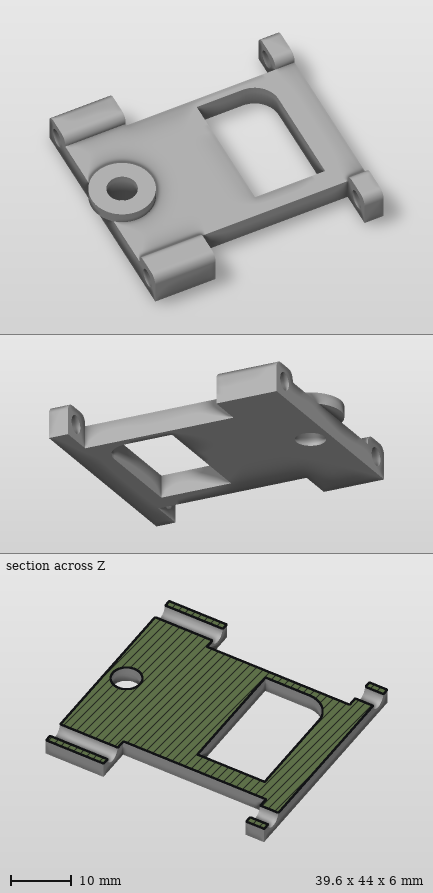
import cadquery as cq

overall_width = 39.6
plate_width = 26.95
plate_thickness = 4.0
overall_length = 43.95
overall_height = 6.0

boss_diameter = 11.15
boss_hole_diameter = 5.2
boss_overhang = 1.95
boss_center_y = boss_diameter / 2 - boss_overhang
plate_length = overall_length - boss_overhang

lug_height = 5.85
lug_round_radius = 1.5
front_lug_width = 6.0
front_lug_length = 11.1
rear_lug_width = (overall_width - plate_width) / 2
rear_lug_length = 3.5
pin_hole_diameter = 3.2
pin_edge_distance = 2.95

window_left = -11.9
window_width = 21.75
window_length = 12.9
window_rear_margin = 5.9
window_corner_radius = 4.4


def block(left, front, width, length, height):
    """Box standing on the base plane, placed by its left front corner."""
    return cq.Workplane("XY").box(width, length, height, centered=False).translate((left, front, 0))


def lug(side, front, width, length):
    """Corner lug with rounded top edges; side is -1 for left and 1 for right."""
    outer = side * overall_width / 2
    left = min(outer, outer - side * width)
    return block(left, front, width, length, lug_height).edges("|Y and >Z").fillet(lug_round_radius)


body = block(-plate_width / 2, 0, plate_width, plate_length, plate_thickness)
body = body.union(block(-overall_width / 2, 0, overall_width, front_lug_length, plate_thickness))

for side in (-1, 1):
    body = body.union(lug(side, 0, front_lug_width, front_lug_length))
    body = body.union(lug(side, plate_length - rear_lug_length, rear_lug_width, rear_lug_length))

boss = (
    cq.Workplane("XY", origin=(0, boss_center_y, plate_thickness))
    .circle(boss_diameter / 2)
    .extrude(overall_height - plate_thickness)
)
body = body.union(boss)

boss_hole = (
    cq.Workplane("XY", origin=(0, boss_center_y, 0))
    .circle(boss_hole_diameter / 2)
    .extrude(overall_height)
)
body = body.cut(boss_hole)

window_front = plate_length - window_rear_margin - window_length
window = (
    block(window_left, window_front, window_width, window_length, plate_thickness)
    .edges("|Z and <X and >Y")
    .fillet(window_corner_radius)
)
body = body.cut(window)

pin_x = overall_width / 2 - pin_edge_distance
pin_holes = (
    cq.Workplane("XZ")
    .pushPoints([(-pin_x, pin_edge_distance), (pin_x, pin_edge_distance)])
    .circle(pin_hole_diameter / 2)
    .extrude(-plate_length)
)
result = body.cut(pin_holes)